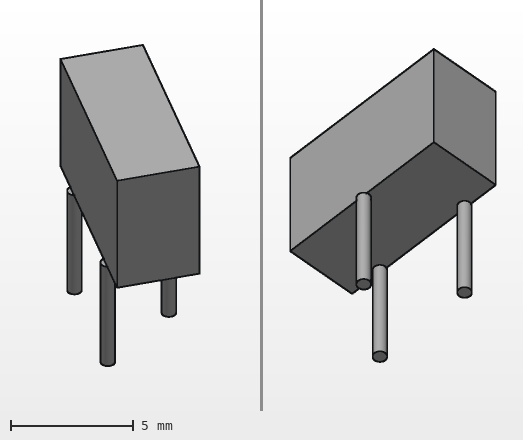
import cadquery as cq

total_height = 10.6

housing_length = 8.5
housing_depth = 3.5
housing_height = 5.5

pin_diameter = 0.6
pin_length = total_height - housing_height
pin_pitch = 2.5
pin_row_spacing = 3.3

pin_positions = [
    (-pin_pitch, -pin_row_spacing / 2),
    (0, pin_row_spacing / 2),
    (pin_pitch, -pin_row_spacing / 2),
]


def make_housing():
    """Plain block standing on the plane Z = 0."""
    return cq.Workplane("XY").box(
        housing_length, housing_depth, housing_height, centered=(True, True, False)
    )


def make_pin(x, y):
    """Straight pin hanging down from the plane Z = 0."""
    return cq.Workplane("XY").center(x, y).circle(pin_diameter / 2).extrude(-pin_length)


housing = make_housing()
pins = [make_pin(x, y) for x, y in pin_positions]

result = cq.Compound.makeCompound([housing.val(), *[pin.val() for pin in pins]])